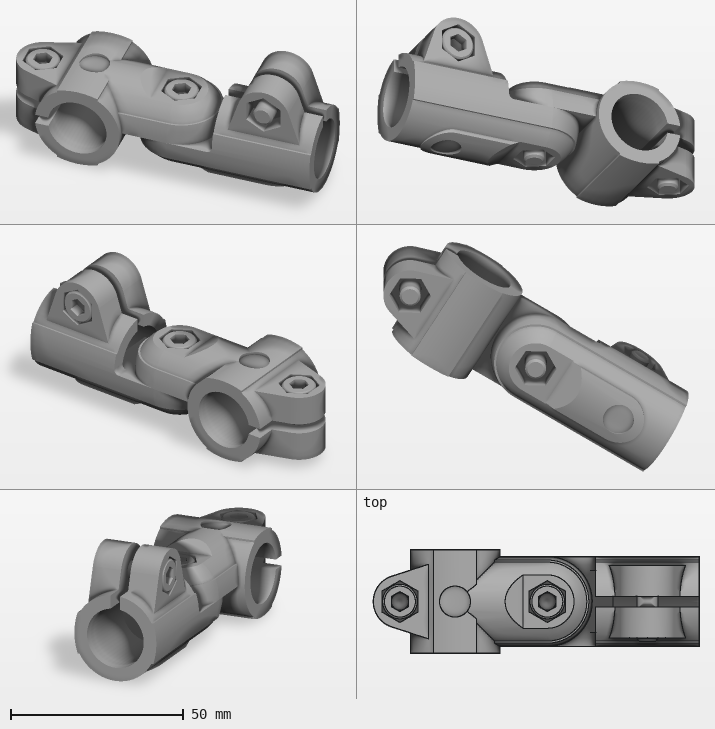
import cadquery as cq
import math

barrel_radius = 13.0
bore_diameter = 18.0
pad_half_width = 6.2
pad_radius = 20.0
seat_height = 10.5
slit_width = 3.0
lug_bolt_offset = 16.0
lug_side_angle = 17.8

cross_bore_x = -26.7
cross_length = 30.0
cross_lug_radius = 7.7

inline_start_x = 14.0
inline_end_x = 44.0
inline_lug_radius = 8.0
pipe_stop_x = 19.0
relief_fillet = 1.5

seat_ramp_angle = 26.0
cross_ramp_start = 7.0
inline_ramp_start = 8.0

badge_diameter = 9.0
badge_depth = 1.0
badge_pad_radius = 7.5
badge_pad_height = 13.4
badge_pad_crown_radius = 18.4
badge_pad_x = 28.15

screw_diameter = 6.0
screw_hole_diameter = 6.5
head_diameter = 10.0
head_face_diameter = 9.0
head_height = 6.0
socket_across_flats = 5.0
socket_depth = 3.3
socket_cone_depth = 1.4
tip_protrusion = 1.0
tip_chamfer = 0.7
pocket_across_flats = 10.5
pocket_depth = head_height

bore_radius = bore_diameter / 2
inline_length = inline_end_x - inline_start_x
inline_center_x = (inline_start_x + inline_end_x) / 2
lug_reach = lug_bolt_offset + max(cross_lug_radius, inline_lug_radius)
envelope = 2 * (inline_end_x - cross_bore_x)

cross_frame = cq.Location(cq.Plane((cross_bore_x, 0, 0), (0, -1, 0), (-1, 0, 0)))
inline_frame = cq.Location(cq.Plane((inline_center_x, 0, 0), (1, 0, 0), (0, 0, 1)))

pivot_frame = cq.Location(cq.Plane((0, 0, 0), (1, 0, 0), (0, 0, 1)))
cross_bolt_frame = cq.Location(
    cq.Plane((cross_bore_x - lug_bolt_offset, 0, 0), (1, 0, 0), (0, 0, 1)))
inline_bolt_frame = cq.Location(
    cq.Plane((inline_center_x, 0, lug_bolt_offset), (1, 0, 0), (0, 1, 0)))


def place(shape, frame):
    """Move a workplane's solid from a local frame to its place in the assembly."""
    return cq.Workplane(shape.val().moved(frame))


def half_section(plane):
    """Half of the barrel section: a circle with a crowned pad on its +x side."""
    pad_edge = barrel_radius - pad_radius + math.sqrt(pad_radius**2 - pad_half_width**2)
    pad_angle = math.asin(pad_half_width / barrel_radius)
    step = barrel_radius * math.cos(pad_angle)
    middle_angle = (math.pi / 2 + pad_angle) / 2
    middle_x = barrel_radius * math.cos(middle_angle)
    middle_y = barrel_radius * math.sin(middle_angle)
    return (
        cq.Workplane(plane)
        .moveTo(0, -barrel_radius)
        .threePointArc((middle_x, -middle_y), (step, -pad_half_width))
        .lineTo(pad_edge, -pad_half_width)
        .threePointArc((barrel_radius, 0), (pad_edge, pad_half_width))
        .lineTo(step, pad_half_width)
        .threePointArc((middle_x, middle_y), (0, barrel_radius))
        .close()
    )


def barrel(start_x, end_x):
    """Solid bar along X with the padded section."""
    half = half_section("YZ").extrude(end_x - start_x)
    return half.union(half.mirror("XZ")).translate((start_x, 0, 0))


def knuckle():
    """Rounded end of a swivel arm: the same section turned about the pivot axis."""
    return half_section("XZ").revolve(360, (0, 0), (0, 1))


def lug(radius):
    """Tapered ear with a round tip, cut flat at both bolt seats."""
    angle = math.radians(lug_side_angle)
    tangent_x = radius * math.cos(angle)
    tangent_z = lug_bolt_offset + radius * math.sin(angle)
    root_x = tangent_x + tangent_z * math.tan(angle)
    return (
        cq.Workplane("XZ")
        .moveTo(-root_x, 0)
        .lineTo(-tangent_x, tangent_z)
        .threePointArc((0, lug_bolt_offset + radius), (tangent_x, tangent_z))
        .lineTo(root_x, 0)
        .close()
        .extrude(seat_height, both=True)
    )


def slit(length):
    """Clamping gap from the bore axis out through the lug."""
    return cq.Workplane("XY").box(length, slit_width, lug_reach, centered=(True, True, False))


def bore(start_x, end_x):
    """Pipe hole along local x."""
    return cq.Workplane("YZ", origin=(start_x, 0, 0)).circle(bore_radius).extrude(end_x - start_x)


def hexagon_prism(across_flats, bottom_z, height):
    """Hexagonal prism with two flats facing local +x and -x."""
    across_corners = across_flats / math.cos(math.pi / 6)
    prism = cq.Workplane("XY").polygon(6, across_corners).extrude(height)
    return prism.rotate((0, 0, 0), (0, 0, 1), 90).translate((0, 0, bottom_z))


def screw_cutout():
    """Clearance hole with a hexagonal pocket at the head end and at the nut end."""
    hole = (
        cq.Workplane("XY", origin=(0, 0, -seat_height))
        .circle(screw_hole_diameter / 2)
        .extrude(2 * seat_height)
    )
    head_pocket = hexagon_prism(pocket_across_flats, seat_height - pocket_depth, pocket_depth)
    nut_pocket = hexagon_prism(pocket_across_flats, -seat_height, pocket_depth)
    return hole.union(head_pocket).union(nut_pocket)


def socket_screw():
    """Chamfered cap screw with its head flush with the seat."""
    tip_z = -seat_height - tip_protrusion
    under_head_z = seat_height - head_height
    shank = (
        cq.Workplane("XY", origin=(0, 0, tip_z))
        .circle(screw_diameter / 2)
        .extrude(under_head_z - tip_z)
        .faces("<Z")
        .chamfer(tip_chamfer)
    )
    head = (
        cq.Workplane("XY", origin=(0, 0, under_head_z))
        .circle(head_diameter / 2)
        .extrude(head_height)
        .faces(">Z")
        .chamfer((head_diameter - head_face_diameter) / 2)
    )
    socket_floor_z = seat_height - socket_depth
    socket = hexagon_prism(socket_across_flats, socket_floor_z, socket_depth)
    drill_point = cq.Workplane(
        cq.Solid.makeCone(socket_across_flats / 2, 0, socket_cone_depth,
                          cq.Vector(0, 0, socket_floor_z), cq.Vector(0, 0, -1))
    )
    return shank.union(head).cut(socket).cut(drill_point)


def seat_cutout(ramp_start):
    """Everything above the pivot seat, bounded by a ramp rising towards -X."""
    height = barrel_radius
    ramp_top = ramp_start + height / math.tan(math.radians(seat_ramp_angle))
    return (
        cq.Workplane("XZ", origin=(0, 0, seat_height))
        .moveTo(-ramp_start, 0)
        .lineTo(inline_start_x, 0)
        .lineTo(inline_start_x, height)
        .lineTo(-ramp_top, height)
        .close()
        .extrude(barrel_radius, both=True)
    )


def badge_recess(x, face_z):
    """Round recess cut to badge depth below an upward-facing crown at face_z."""
    return (
        cq.Workplane("XY", origin=(x, 0, face_z - badge_depth))
        .circle(badge_diameter / 2)
        .extrude(2 * badge_depth)
    )


def make_cross_clamp():
    """Cross clamp with the upper half of the swivel."""
    arm = barrel(cross_bore_x, 0).union(knuckle())
    upper_half = cq.Workplane("XY").box(envelope, envelope, envelope, centered=(True, True, False))
    arm = arm.intersect(upper_half).cut(seat_cutout(cross_ramp_start))

    ring = place(barrel(-cross_length / 2, cross_length / 2), cross_frame)
    body = ring.union(arm).union(place(lug(cross_lug_radius), cross_frame))
    body = body.cut(place(bore(-cross_length / 2, cross_length / 2), cross_frame))
    body = body.cut(place(slit(cross_length), cross_frame))
    body = body.cut(badge_recess(cross_bore_x, barrel_radius))
    for frame in (pivot_frame, cross_bolt_frame):
        body = body.cut(place(screw_cutout(), frame))
    return body


def badge_pad():
    """Crowned pad with a round end, standing out below the barrel."""
    outline = (
        cq.Workplane("XY")
        .moveTo(0, -badge_pad_radius)
        .lineTo(badge_pad_x, -badge_pad_radius)
        .threePointArc((badge_pad_x + badge_pad_radius, 0), (badge_pad_x, badge_pad_radius))
        .lineTo(0, badge_pad_radius)
        .close()
        .extrude(-badge_pad_height)
    )
    crown = (
        cq.Workplane("YZ", origin=(0, 0, badge_pad_crown_radius - badge_pad_height))
        .circle(badge_pad_crown_radius)
        .extrude(inline_end_x)
    )
    return outline.intersect(crown)


def swivel_relief():
    """Space for the cross clamp's arm, with a rounded inner corner."""
    return (
        cq.Workplane("XY")
        .box(envelope, envelope, envelope, centered=(True, True, False))
        .translate((inline_start_x - envelope / 2, 0, 0))
        .edges(">X and <Z")
        .fillet(relief_fillet)
    )


def make_inline_clamp():
    """In-line clamp with the lower half of the swivel; the pipe rests against its stop face."""
    body = barrel(0, inline_end_x).union(knuckle()).union(badge_pad())
    body = body.union(place(lug(inline_lug_radius), inline_frame))
    lower_seat = seat_cutout(inline_ramp_start).rotate((0, 0, 0), (0, 1, 0), 180)
    body = body.cut(lower_seat).cut(swivel_relief())

    pipe_stop = (
        cq.Workplane("XY")
        .box(pipe_stop_x, bore_diameter, bore_radius, centered=(False, True, False))
        .translate((0, 0, -bore_radius))
    )
    body = body.cut(bore(0, inline_end_x).cut(pipe_stop))
    body = body.cut(place(slit(inline_length), inline_frame))
    body = body.cut(badge_recess(badge_pad_x, badge_pad_height).mirror("XY"))
    for frame in (pivot_frame, inline_bolt_frame):
        body = body.cut(place(screw_cutout(), frame))
    return body


cross_clamp = make_cross_clamp()
inline_clamp = make_inline_clamp()
screws = [place(socket_screw(), frame) for frame in (pivot_frame, cross_bolt_frame, inline_bolt_frame)]

result = cq.Compound.makeCompound(
    [cross_clamp.val(), inline_clamp.val(), *[screw.val() for screw in screws]]
)